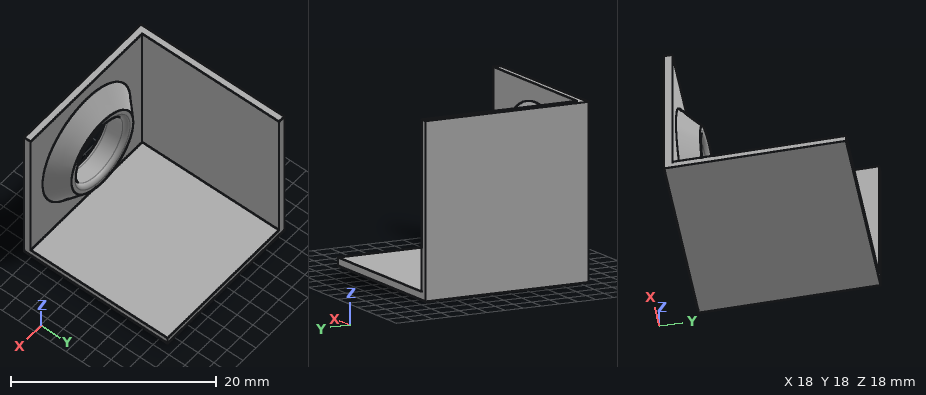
import cadquery as cq

side = 18.0
wall = 0.85

hole_diameter = 7.5
hole_edge_radius = 0.5

boss_height = 2.0
boss_rim_width = 1.0
boss_top_radius = hole_diameter / 2 + boss_rim_width
boss_base_radius = boss_top_radius + boss_height

hole_center = (side + wall) / 2


def corner_plates():
    block = cq.Workplane("XY").box(side, side, side, centered=False)
    cavity = cq.Workplane("XY").box(side, side, side, centered=False)
    return block.cut(cavity.translate((wall, wall, wall)))


def conical_boss():
    boss = cq.Solid.makeCone(
        boss_base_radius,
        boss_top_radius,
        boss_height,
        pnt=cq.Vector(hole_center, wall, hole_center),
        dir=cq.Vector(0, 1, 0),
    )
    return cq.Workplane(obj=boss)


def hole():
    front = cq.Plane(origin=(hole_center, 0, hole_center), xDir=(1, 0, 0), normal=(0, 1, 0))
    return cq.Workplane(front).circle(hole_diameter / 2).extrude(wall + boss_height)


result = corner_plates().union(conical_boss()).cut(hole())

entry_edge = result.faces("<Y").edges("%CIRCLE").vals()
exit_edge = result.edges(cq.selectors.RadiusNthSelector(0)).edges(">Y").vals()
result = result.newObject(entry_edge + exit_edge).fillet(hole_edge_radius)